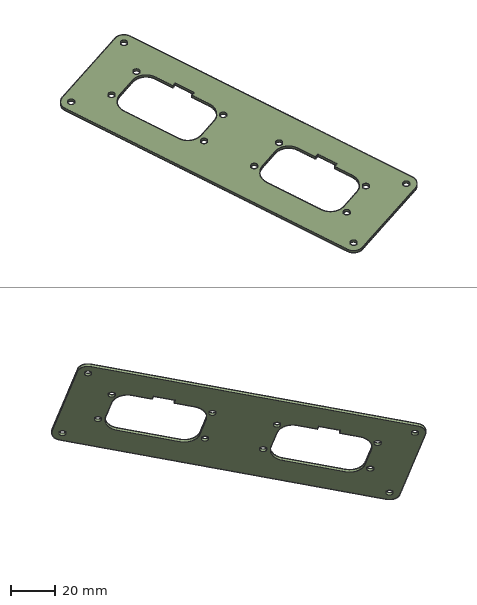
import cadquery as cq

plate_length = 164.0
plate_width = 53.0
plate_thickness = 1.57
plate_corner_radius = 5.0

hole_diameter = 3.3
corner_hole_inset = 5.0

window_spacing = 77.9
window_length = 44.5
window_top = 12.1
window_bottom = -13.0
window_corner_radius = 7.4

notch_length = 10.3
notch_depth = 2.0

upper_pair_spacing = 47.4
upper_pair_y = 10.2
lower_pair_spacing = 50.5
lower_pair_y = -7.9


def make_plate():
    plate = cq.Workplane("XY").box(plate_length, plate_width, plate_thickness)
    return plate.edges("|Z").fillet(plate_corner_radius)


def make_window(center_x):
    """Cutter for one rounded window with its notch."""
    window_height = window_top - window_bottom
    window_y = (window_top + window_bottom) / 2
    opening = (
        cq.Workplane("XY")
        .box(window_length, window_height, plate_thickness)
        .edges("|Z")
        .fillet(window_corner_radius)
        .translate((center_x, window_y, 0))
    )
    notch = (
        cq.Workplane("XY")
        .box(notch_length, 2 * notch_depth, plate_thickness)
        .translate((center_x, window_top, 0))
    )
    return opening.union(notch)


def screw_hole_points(center_x):
    points = []
    for spacing, y in ((upper_pair_spacing, upper_pair_y), (lower_pair_spacing, lower_pair_y)):
        points.append((center_x - spacing / 2, y))
        points.append((center_x + spacing / 2, y))
    return points


def corner_hole_points():
    x = plate_length / 2 - corner_hole_inset
    y = plate_width / 2 - corner_hole_inset
    return [(-x, -y), (x, -y), (x, y), (-x, y)]


result = make_plate()
hole_points = corner_hole_points()

for window_x in (-window_spacing / 2, window_spacing / 2):
    result = result.cut(make_window(window_x))
    hole_points += screw_hole_points(window_x)

result = result.faces(">Z").workplane(origin=(0, 0, 0)).pushPoints(hole_points).hole(hole_diameter)